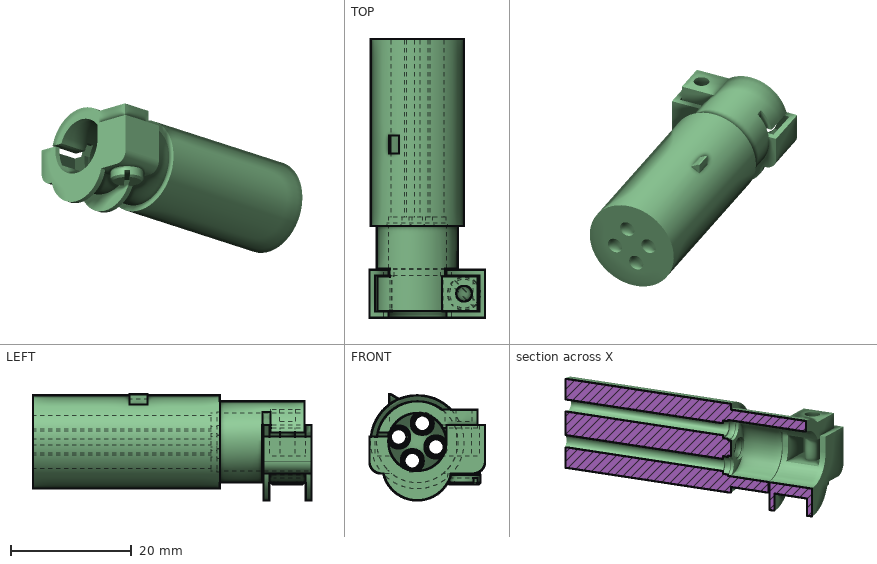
import cadquery as cq
import math


total_length = 46.2
sleeve_length = 31.0
sleeve_diameter = 15.5
neck_diameter = 13.5
bore_diameter = 9.6
tube_front_y = 1.15
sleeve_front_y = total_length - sleeve_length
socket_floor_y = sleeve_front_y

contact_count = 4
contact_circle_radius = 3.2
contact_start_angle = 75.0
contact_hole_diameter = 2.6
contact_counterbore_diameter = 3.4
contact_counterbore_depth = 1.0
contact_mouth_diameter = 3.8
contact_mouth_depth = 0.5

tab_left_x = -4.65
tab_top_z = 7.91
tab_crest_width = 0.25
tab_slope_angle = 30.0
tab_right_x = -2.5
tab_base_z = 5.5
tab_rear_offset = 16.0
tab_length = 3.0

jaw_left_z = 1.6
groove_front_y = 6.8
groove_rear_y = 8.15
bridge_half_width = 4.6

lug_right_x = 10.0
lug_bottom_z = 2.3
lug_top_z = 5.37

clamp_length = 8.0
clamp_wall = 1.0
clamp_side_wall = 0.95
clamp_left_x = -7.95
clamp_width = 19.2
clamp_right_x = clamp_left_x + clamp_width
clamp_left_top_z = 0.9
clamp_right_top_z = 2.83
clamp_bottom_z = -5.25
clamp_corner_radius = 2.0
cavity_floor_z = -lug_bottom_z
cheek_diameter = 11.6
cheek_center_z = -3.9

screw_x = 7.75
screw_y = clamp_length / 2
screw_diameter = 2.5
lug_hole_diameter = 2.6
lug_hole_depth = 2.0
head_diameter = 5.5
head_chamfer = 0.36
head_top_z = -5.5
head_bottom_z = -7.05
head_neck_diameter = 5.3
head_slot_width = 0.9
head_slot_depth = 1.1
head_slot_angle = -45.0


def box(x0, x1, y0, y1, z0, z1):
    """Axis-aligned block between two opposite corners."""
    return cq.Workplane("XY").box(x1 - x0, y1 - y0, z1 - z0, centered=False).translate((x0, y0, z0))


def rod_y(diameter, y0, y1, x=0.0, z=0.0):
    """Cylinder along Y."""
    return cq.Workplane(cq.Solid.makeCylinder(
        diameter / 2, y1 - y0, cq.Vector(x, y0, z), cq.Vector(0, 1, 0)))


def rod_z(diameter, z0, z1):
    """Cylinder along Z on the clamp screw axis."""
    return cq.Workplane("XY", origin=(screw_x, screw_y, z0)).circle(diameter / 2).extrude(z1 - z0)


def make_bore(rear_y):
    return rod_y(bore_diameter, 0, rear_y)


def make_tab():
    crest_right_x = tab_left_x + tab_crest_width
    slope_drop = (tab_right_x - crest_right_x) * math.tan(math.radians(tab_slope_angle))
    rear_y = total_length - tab_rear_offset
    outline = [
        (tab_left_x, tab_base_z),
        (tab_left_x, tab_top_z),
        (crest_right_x, tab_top_z),
        (tab_right_x, tab_top_z - slope_drop),
        (tab_right_x, tab_base_z),
    ]
    return cq.Workplane("XZ", origin=(0, rear_y, 0)).polyline(outline).close().extrude(tab_length)


def make_contact_hole(angle):
    x = contact_circle_radius * math.cos(math.radians(angle))
    z = contact_circle_radius * math.sin(math.radians(angle))
    hole = rod_y(contact_hole_diameter, socket_floor_y, total_length, x, z)
    mouth_rear_y = socket_floor_y + contact_mouth_depth
    mouth = rod_y(contact_mouth_diameter, socket_floor_y, mouth_rear_y, x, z)
    counterbore_rear_y = mouth_rear_y + contact_counterbore_depth
    counterbore = rod_y(contact_counterbore_diameter, mouth_rear_y, counterbore_rear_y, x, z)
    return hole.union(counterbore).union(mouth)


def make_tube():
    reach = sleeve_diameter
    sleeve = rod_y(sleeve_diameter, sleeve_front_y, total_length)
    neck = rod_y(neck_diameter, tube_front_y, sleeve_front_y)
    neck = neck.cut(box(-reach, 0, 0, groove_rear_y, -reach, jaw_left_z))
    neck = neck.cut(box(0, reach, 0, groove_rear_y, -reach, lug_bottom_z))
    lug = box(0, lug_right_x, tube_front_y, groove_front_y, lug_bottom_z, lug_top_z)
    neck = neck.union(lug)
    groove = box(-reach, reach, groove_front_y, groove_rear_y, -reach, reach)
    bridge = box(-bridge_half_width, bridge_half_width, groove_front_y, groove_rear_y,
                 clamp_right_top_z, reach)
    neck = neck.cut(groove.cut(bridge))
    tube = sleeve.union(make_tab()).union(neck).cut(make_bore(socket_floor_y))
    for index in range(contact_count):
        tube = tube.cut(make_contact_hole(contact_start_angle + index * 360 / contact_count))
    return tube.cut(rod_z(lug_hole_diameter, lug_top_z - lug_hole_depth, lug_top_z))


def make_clamp():
    shell = box(clamp_left_x, clamp_right_x, 0, clamp_length, clamp_bottom_z, clamp_right_top_z)
    shell = shell.edges("|Y and <Z").fillet(clamp_corner_radius)
    shell = shell.cut(box(clamp_left_x, 0, 0, clamp_length, clamp_left_top_z, clamp_right_top_z))
    belly_rear_y = clamp_length - clamp_wall
    belly = rod_y(neck_diameter, clamp_wall, belly_rear_y)
    lower_half = box(-neck_diameter, neck_diameter, clamp_wall, belly_rear_y, -neck_diameter, 0)
    body = shell.union(belly.intersect(lower_half))
    for cheek_front_y in (0, belly_rear_y):
        body = body.union(rod_y(
            cheek_diameter, cheek_front_y, cheek_front_y + clamp_wall, z=cheek_center_z))
    cavity = box(clamp_left_x + clamp_side_wall, clamp_right_x - clamp_side_wall,
                 clamp_wall, belly_rear_y, cavity_floor_z, clamp_right_top_z)
    bore_radius = bore_diameter / 2
    bore_opening = box(-bore_radius, bore_radius, 0, clamp_length, 0, clamp_right_top_z)
    return body.cut(cavity).cut(make_bore(clamp_length)).cut(bore_opening)


def make_screw():
    shank_top_z = lug_top_z - lug_hole_depth
    shank = rod_z(screw_diameter, clamp_bottom_z, shank_top_z)
    head = rod_z(head_diameter, head_bottom_z, head_top_z).faces("<Z").chamfer(head_chamfer)
    head_neck = rod_z(head_neck_diameter, head_top_z, clamp_bottom_z)
    slot = cq.Workplane("XY").box(2 * head_diameter, head_slot_width, head_slot_depth,
                                  centered=(True, True, False))
    slot = slot.rotate((0, 0, 0), (0, 0, 1), head_slot_angle)
    slot = slot.translate((screw_x, screw_y, head_bottom_z))
    return shank.union(head).union(head_neck).cut(slot)


result = make_tube().union(make_clamp()).union(make_screw())